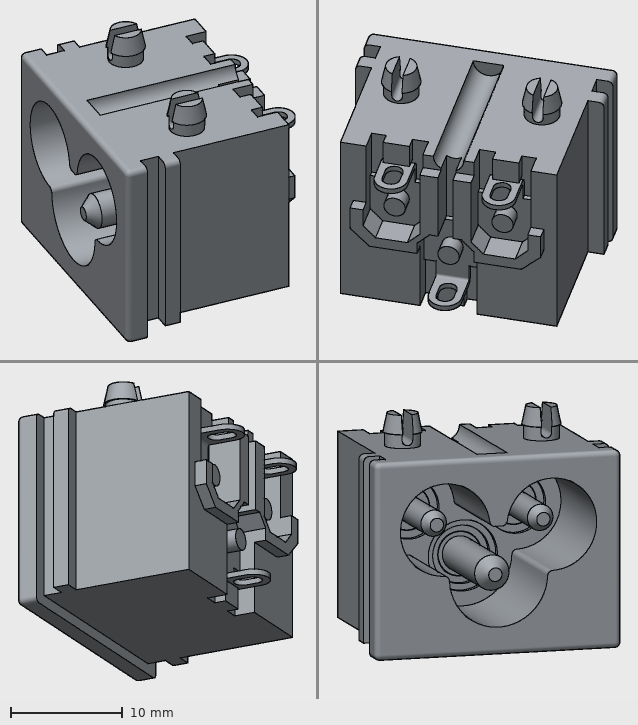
import cadquery as cq
import math


BODY_HALF_WIDTH = 10.0
BODY_HEIGHT = 17.0
BODY_BACK = 16.65
FLANGE_HALF_WIDTH = 11.5
FLANGE_HEIGHT = 18.0
FLANGE_THICKNESS = 2.0
RIB_FRONT = 3.75
RIB_BACK = 5.25
EDGE_RADIUS = 0.5

SIDE_X = 5.0
SIDE_Z = -6.37
CENTER_Z = -10.88

SIDE_LOBE_RADIUS = 4.2
CENTER_LOBE_RADIUS = 4.6
CAVITY_DEPTH = 11.0
RECESS_STEP = 0.5
SIDE_RECESS_RADII = [2.75]
CENTER_RECESS_RADII = [3.25, 2.67]

SIDE_PIN_RADIUS = 1.2
CENTER_PIN_RADIUS = 1.6
SIDE_PIN_TIP_Y = 2.6
CENTER_PIN_TIP_Y = 1.0
PIN_TIP_RADIUS = 0.62
SIDE_CONE_LENGTH = 1.0
CENTER_CONE_LENGTH = 1.1
PIN_FLANGE_RADIUS = 2.0
PIN_FLANGE_CLEARANCE = 0.05
PIN_TAIL_RADIUS = 1.0

SHEET = 0.5
BEND_RADIUS = 0.74
PLATE_FRONT = 14.67
PLATE_BACK = PLATE_FRONT + SHEET
LUG_RADIUS = 1.52
LUG_HOLE_RADIUS = 0.8
LUG_END = 19.45
LUG_HOLE_FRONT = 16.84
LUG_OFFSET = 3.86
LUG_OUTER = LUG_OFFSET + SHEET / 2
SHOULDER = 2.0

POCKET_HALF_WIDTH = 2.62
POCKET_FLOOR = 2.88
POCKET_CHAMFER = 1.15
LIP_BACK = 15.75
LIP_HALF_WIDTH = 1.22
LIP_X = 5.05

RAISED_BACK = 17.8
RAISED_HALF_WIDTH = 8.8
RAISED_TOP = -1.45
RAISED_WING_TOP = -6.32
RAISED_SLOPE_Z = -8.62
RAISED_BOTTOM = -10.3
RAISED_SLOPE_RUN = 1.8

GROOVE_RADIUS = 1.4
SLIT_WIDTH = 1.38

PEG_X = 6.5
PEG_Y = 8.19
PEG_RADIUS = 1.6
PEG_BARB_RADIUS = 1.77
PEG_TOP_RADIUS = 1.4
PEG_BARB_Z = 1.26
PEG_HEIGHT = 3.0
PEG_SLOT_WIDTH = 1.0
PEG_SLOT_FLOOR = 0.25

SIDE_CONTACTS = [(-SIDE_X, SIDE_Z, 1), (SIDE_X, SIDE_Z, 1)]
CENTER_CONTACT = (0, CENTER_Z, -1)


def block(x_min, x_max, y_min, y_max, z_min, z_max):
    """Box between the given limits."""
    size = (x_max - x_min, y_max - y_min, z_max - z_min)
    return cq.Workplane("XY").box(*size, centered=False).translate((x_min, y_min, z_min))


def cylinder(x, z, radius, y_min, y_max):
    """Round bar along Y."""
    return cq.Workplane("XZ", origin=(x, y_min, z)).circle(radius).extrude(y_min - y_max)


def extrude_y(points, y_min, y_max):
    """Prism along Y over an outline of (x, z) points."""
    return cq.Workplane("XZ", origin=(0, y_min, 0)).polyline(points).close().extrude(y_min - y_max)


def place(shape, x, z, direction):
    """Move a contact-centered shape to its axis, turned half round when its lug points down."""
    turn = 0 if direction > 0 else 180
    return shape.rotate((0, 0, 0), (0, 1, 0), turn).translate((x, 0, z))


def flange_y(recess_radii):
    """Depth of the innermost recess floor, where the pin flange starts."""
    return CAVITY_DEPTH + RECESS_STEP * len(recess_radii)


def make_shell():
    """Body block with the rounded front flange and the two side ribs."""
    body = block(-BODY_HALF_WIDTH, BODY_HALF_WIDTH, FLANGE_THICKNESS, BODY_BACK, -BODY_HEIGHT, 0)
    flange = block(-FLANGE_HALF_WIDTH, FLANGE_HALF_WIDTH, 0, FLANGE_THICKNESS, -FLANGE_HEIGHT, 0)
    flange = flange.edges("|Y or <Y").fillet(EDGE_RADIUS)
    rib = block(-FLANGE_HALF_WIDTH, FLANGE_HALF_WIDTH, RIB_FRONT, RIB_BACK, -BODY_HEIGHT, 0)
    rib = rib.edges("|Y and >Z").fillet(EDGE_RADIUS)
    return body.union(flange).union(rib)


def make_raised_plate():
    """Plate on the rear face with lower wings outside the side pockets, sloped towards its bottom."""
    right = [
        (SIDE_X, RAISED_TOP),
        (SIDE_X, RAISED_WING_TOP),
        (RAISED_HALF_WIDTH, RAISED_WING_TOP),
        (RAISED_HALF_WIDTH, RAISED_SLOPE_Z),
        (RAISED_HALF_WIDTH - RAISED_SLOPE_RUN, RAISED_BOTTOM),
    ]
    left = [(-x, z) for x, z in reversed(right)]
    return extrude_y(right + left, BODY_BACK, RAISED_BACK)


def lobe_corners():
    """(x, z) points where the side lobes cross the center lobe."""
    rise = SIDE_Z - CENTER_Z
    distance = math.hypot(SIDE_X, rise)
    along = (distance**2 + CENTER_LOBE_RADIUS**2 - SIDE_LOBE_RADIUS**2) / (2 * distance)
    across = math.sqrt(CENTER_LOBE_RADIUS**2 - along**2)
    corners = []
    for side in (-1, 1):
        for offset in (-across, across):
            x = (along * SIDE_X + offset * rise) / distance
            z = CENTER_Z + (along * rise - offset * SIDE_X) / distance
            corners.append((side * x, z))
    return corners


def make_cavity():
    """Three merged lobes with rounded corners between them, and stepped recesses in the floor."""
    cavity = cylinder(0, CENTER_Z, CENTER_LOBE_RADIUS, 0, CAVITY_DEPTH)
    for x, z, _ in SIDE_CONTACTS:
        cavity = cavity.union(cylinder(x, z, SIDE_LOBE_RADIUS, 0, CAVITY_DEPTH))
    for x, z in lobe_corners():
        corner_edge = cq.selectors.NearestToPointSelector((x, CAVITY_DEPTH / 2, z))
        cavity = cavity.edges(corner_edge).fillet(EDGE_RADIUS)
    contacts = [(contact, SIDE_RECESS_RADII) for contact in SIDE_CONTACTS]
    contacts.append((CENTER_CONTACT, CENTER_RECESS_RADII))
    flange_hole = PIN_FLANGE_RADIUS + PIN_FLANGE_CLEARANCE
    for (x, z, _), radii in contacts:
        for step, radius in enumerate(radii, start=1):
            cavity = cavity.union(cylinder(x, z, radius, 0, CAVITY_DEPTH + step * RECESS_STEP))
        cavity = cavity.union(cylinder(x, z, flange_hole, 0, PLATE_FRONT))
    return cavity


def pocket_outline(top):
    """Pocket cross-section with 45 degree corners at its floor, centered on the contact."""
    floor_half_width = POCKET_HALF_WIDTH - POCKET_CHAMFER
    slope_top = POCKET_CHAMFER - POCKET_FLOOR
    return [
        (-POCKET_HALF_WIDTH, top),
        (-POCKET_HALF_WIDTH, slope_top),
        (-floor_half_width, -POCKET_FLOOR),
        (floor_half_width, -POCKET_FLOOR),
        (POCKET_HALF_WIDTH, slope_top),
        (POCKET_HALF_WIDTH, top),
    ]


def make_pocket(x, z, direction):
    """Rear pocket, open to the rear and to the top or bottom face."""
    opening = -z if direction > 0 else BODY_HEIGHT + z
    pocket = place(extrude_y(pocket_outline(opening), PLATE_FRONT, RAISED_BACK), x, z, direction)
    lip_x = LIP_X * x / SIDE_X
    lip = block(-LIP_HALF_WIDTH, LIP_HALF_WIDTH, PLATE_FRONT, LIP_BACK, LUG_OUTER, opening)
    return pocket.cut(place(lip, lip_x, z, direction))


def make_peg(x):
    """Barbed peg split by a round-bottomed slot along Y."""
    profile = [
        (0, 0),
        (PEG_RADIUS, 0),
        (PEG_RADIUS, PEG_BARB_Z),
        (PEG_BARB_RADIUS, PEG_BARB_Z),
        (PEG_TOP_RADIUS, PEG_HEIGHT),
        (0, PEG_HEIGHT),
    ]
    peg = cq.Workplane("XZ").polyline(profile).close().revolve(360, (0, 0), (0, 1))
    half_slot = PEG_SLOT_WIDTH / 2
    slot_center = PEG_SLOT_FLOOR + half_slot
    slot = block(-half_slot, half_slot, -PEG_BARB_RADIUS, PEG_BARB_RADIUS, slot_center, PEG_HEIGHT)
    slot = slot.union(cylinder(0, slot_center, half_slot, -PEG_BARB_RADIUS, PEG_BARB_RADIUS))
    return peg.cut(slot).translate((x, PEG_Y, 0))


def make_housing():
    """Shell with its cavity, rear pockets, top groove, slit and snap pegs."""
    housing = make_shell().union(make_raised_plate()).cut(make_cavity())
    for contact in [*SIDE_CONTACTS, CENTER_CONTACT]:
        housing = housing.cut(make_pocket(*contact))
    housing = housing.cut(cylinder(0, 0, GROOVE_RADIUS, FLANGE_THICKNESS, BODY_BACK))
    half_slit = SLIT_WIDTH / 2
    housing = housing.cut(block(-half_slit, half_slit, PLATE_FRONT, RAISED_BACK, CENTER_Z, 0))
    for x in (-PEG_X, PEG_X):
        housing = housing.union(make_peg(x))
    return housing


def make_pin(x, z, radius, tip_y, cone_length, flange_front):
    """Contact pin with a conical tip, a seating flange and a riveted tail."""
    profile = [
        (0, tip_y),
        (PIN_TIP_RADIUS, tip_y),
        (radius, tip_y + cone_length),
        (radius, flange_front),
        (PIN_FLANGE_RADIUS, flange_front),
        (PIN_FLANGE_RADIUS, PLATE_FRONT),
        (PIN_TAIL_RADIUS, PLATE_FRONT),
        (PIN_TAIL_RADIUS, BODY_BACK),
        (0, BODY_BACK),
    ]
    pin = cq.Workplane("XY").polyline(profile).close().revolve(360, (0, 0), (0, 1))
    return pin.translate((x, 0, z))


def make_terminal(x, z, direction):
    """Upright plate around the pin tail, bent to the rear into a solder lug with a slotted eye."""
    plate = extrude_y(pocket_outline(SHOULDER), PLATE_FRONT, PLATE_BACK)
    plate = plate.cut(cylinder(0, 0, PIN_TAIL_RADIUS, PLATE_FRONT, PLATE_BACK))

    eye_back = LUG_END - LUG_RADIUS
    lug_bottom = LUG_OUTER - SHEET
    bend_y = PLATE_FRONT + BEND_RADIUS
    bend_z = LUG_OUTER - BEND_RADIUS
    inner_radius = BEND_RADIUS - SHEET
    diagonal = math.sqrt(0.5)
    strap = (
        cq.Workplane("YZ", origin=(-LUG_RADIUS, 0, 0))
        .moveTo(PLATE_FRONT, SHOULDER)
        .lineTo(PLATE_FRONT, bend_z)
        .threePointArc(
            (bend_y - BEND_RADIUS * diagonal, bend_z + BEND_RADIUS * diagonal),
            (bend_y, LUG_OUTER),
        )
        .lineTo(eye_back, LUG_OUTER)
        .lineTo(eye_back, lug_bottom)
        .lineTo(bend_y, lug_bottom)
        .threePointArc(
            (bend_y - inner_radius * diagonal, bend_z + inner_radius * diagonal),
            (PLATE_BACK, bend_z),
        )
        .lineTo(PLATE_BACK, SHOULDER)
        .close()
        .extrude(2 * LUG_RADIUS)
    )
    lug_end = cq.Workplane("XY", origin=(0, eye_back, lug_bottom)).circle(LUG_RADIUS).extrude(SHEET)
    eye_length = eye_back - LUG_HOLE_FRONT + 2 * LUG_HOLE_RADIUS
    eye = (
        cq.Workplane("XY", origin=(0, (eye_back + LUG_HOLE_FRONT) / 2, lug_bottom))
        .slot2D(eye_length, 2 * LUG_HOLE_RADIUS, 90)
        .extrude(SHEET)
    )
    return place(plate.union(strap.union(lug_end).cut(eye)), x, z, direction)


housing = make_housing()

side_flange_y = flange_y(SIDE_RECESS_RADII)
center_flange_y = flange_y(CENTER_RECESS_RADII)
pins = [
    make_pin(x, z, SIDE_PIN_RADIUS, SIDE_PIN_TIP_Y, SIDE_CONE_LENGTH, side_flange_y)
    for x, z, _ in SIDE_CONTACTS
]
pins.append(
    make_pin(0, CENTER_Z, CENTER_PIN_RADIUS, CENTER_PIN_TIP_Y, CENTER_CONE_LENGTH, center_flange_y)
)

terminals = [make_terminal(*contact) for contact in [*SIDE_CONTACTS, CENTER_CONTACT]]

result = cq.Compound.makeCompound([body.val() for body in [housing, *pins, *terminals]])